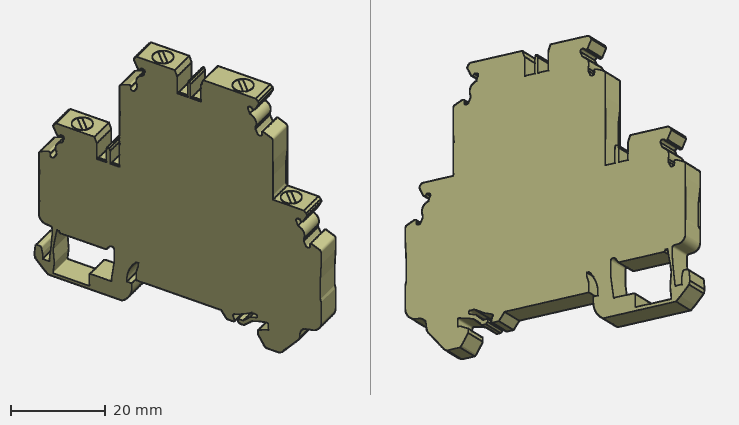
import cadquery as cq


length = 70.5
thickness = 6.0
height = 65.1

upper_top = height
lower_top = 40.25
lower_left_wall = 1.1
upper_left_wall = 20.95
upper_right_wall = 58.65
lower_right_wall = length

upper_gap_left = 35.1
upper_gap_right = 40.95
upper_gap_floor = upper_top - 5.85
upper_fin_width = 0.7
lower_gap_left = 15.4
lower_gap_floor = lower_top - 5.6
lower_fin_width = 1.0
fin_drop = 1.6
fin_tip_height = 0.6
fin_tip_setback = 0.2
gap_lead_in = 0.55
gap_lead_height = 1.5
gap_recess_depth = 0.15
gap_recess_front = 0.6
upper_recess_back = 1.1
lower_recess_back = 0.9

screw_diameter = 4.5
screw_inset = 9.0
screw_y = -0.2
screw_sink = 0.1
screw_slot_width = 1.0
screw_slot_depth = 0.15
screw_slot_angle = -45

panel_depth = 0.2
panel_side_bevel = 0.4
panel_end_bevel = 0.7
panel_ramp_height = 4.0
panel_height = 9.9
upper_panel_top = 50.3
lower_panel_top = 27.8

base_z = 6.6
catch_z = 4.8
hook_z = 0.85
window_top = 11.9
window_step = 4.1
window_floor = 0.85


def extrude_outline(start, steps):
    """Closed XZ outline made solid through the whole thickness."""
    path = cq.Workplane("XZ").moveTo(*start)
    for step in steps:
        if len(step) == 1:
            path = path.lineTo(*step[0])
        else:
            path = path.threePointArc(*step)
    return path.close().extrude(thickness / 2, both=True)


def reverse_steps(start, steps):
    """Same path walked from its last point back to its start."""
    ends = [start] + [step[-1] for step in steps]
    back = [step[:-1] + (ends[i],) for i, step in enumerate(steps)]
    return ends[-1], back[::-1]


def shoulder(wall, top, side):
    """Clamp shoulder from the outer wall up to the top face; side is +1 on the left, -1 on the right."""
    def at(inward, down):
        return (wall + side * inward, top - down)

    start = at(0, 9.5)
    steps = [
        (at(0.2, 9.0), at(0.8, 8.75)),
        (at(3.2, 8.05),),
        (at(3.8, 8.1), at(3.9, 8.5)),
        (at(3.9, 8.9),),
        (at(4.7, 9.3), at(5.4, 8.95)),
        (at(6.1, 8.0),),
        (at(6.1, 7.4),),
        (at(6.0, 5.8), at(7.2, 4.8)),
        (at(8.1, 4.45),),
        (at(8.8, 3.25),),
        (at(8.4, 2.75), at(7.5, 2.75)),
        (at(7.0, 3.2),),
        (at(6.3, 2.95),),
        (at(4.9, 1.0),),
        (at(5.2, 0.5),),
        (at(6.0, 0),),
    ]
    return start, steps


def marker_gap(left, right, floor, top, fin_width):
    """Gap walked left to right along its floor, up and over the fin."""
    fin_left = (left + right - fin_width) / 2
    fin_right = fin_left + fin_width
    fin_top = top - fin_drop
    tip_base = fin_top - fin_tip_height
    return [
        ((left - gap_lead_in, top),),
        ((left, top - gap_lead_height),),
        ((left, floor),),
        ((fin_left, floor),),
        ((fin_left, tip_base),),
        ((fin_left + fin_tip_setback, fin_top),),
        ((fin_right - fin_tip_setback, fin_top),),
        ((fin_right, tip_base),),
        ((fin_right, floor),),
        ((right, floor),),
    ]


def top_outline():
    """From the lower left wall, over both levels, to the lower right wall."""
    start, steps = shoulder(lower_left_wall, lower_top, 0.7)
    steps += marker_gap(lower_gap_left, upper_left_wall, lower_gap_floor, lower_top, lower_fin_width)
    upper_start, upper_steps = shoulder(upper_left_wall, upper_top, 0.7)
    steps += [(upper_start,)] + upper_steps
    steps += marker_gap(upper_gap_left, upper_gap_right, upper_gap_floor, upper_top, upper_fin_width)
    steps += [
        ((upper_gap_right, upper_top - gap_lead_height),),
        ((upper_gap_right + gap_lead_in, upper_top),),
    ]
    right_start, right_steps = reverse_steps(*shoulder(upper_right_wall, upper_top, -0.7))
    steps += [(right_start,)] + right_steps
    steps += [((upper_right_wall, lower_top),)]
    right_start, right_steps = reverse_steps(*shoulder(lower_right_wall, lower_top, -0.7))
    steps += [(right_start,)] + right_steps
    return start, steps


def hook_outline():
    """Right-hand side: down the wall, around the rail hook to its inner mouth."""
    return [
        ((lower_right_wall, 12.4),),
        ((69.9, 10.7), (68.45, 9.8)),
        ((67.25, 9.6),),
        ((65.8, 8.9), (65.3, 7.4)),
        ((65.3, 6.8),),
        ((64.9, 6.0),),
        ((60.85, 1.2),),
        ((60.15, hook_z),),
        ((56.95, hook_z),),
        ((56.55, 1.2),),
        ((54.9, 3.75),),
        ((54.9, 4.7),),
        ((56.8, 5.65),),
        ((57.5, 5.8),),
        ((57.5, 7.05),),
        ((57.4, 7.5), (56.95, 7.55)),
    ]


def catch_outline():
    """Spring tongue beside the hook, then the fixed stop, ending on the base face."""
    return [
        ((55.05, 7.1),),
        ((53.5, 6.55),),
        ((51.55, catch_z),),
        ((50.55, catch_z),),
        ((50.05, 5.2),),
        ((50.05, 5.9),),
        ((51.3, 5.9),),
        ((52.95, 7.4),),
        ((54.4, 7.9),),
        ((54.8, 8.4), (54.4, 8.75)),
        ((53.4, 8.75),),
        ((50.9, 7.4),),
        ((49.1, 6.8),),
        ((48.8, 6.35),),
        ((49.3, 5.1),),
        ((49.1, catch_z),),
        ((47.3, catch_z),),
        ((45.9, base_z),),
    ]


def foot_outline():
    """Relief slit, foot with its rail lip, and the flexible leg back up to the body."""
    return [
        ((25.0, base_z),),
        ((25.0, 8.8),),
        ((25.6, 10.6),),
        ((25.6, 11.3),),
        ((25.1, 11.3),),
        ((23.5, 9.1), (22.8, 6.5)),
        ((22.8, 5.4),),
        ((24.0, 5.4),),
        ((24.0, 4.45),),
        ((23.3, 1.7), (21.6, 0)),
        ((3.45, 0),),
        ((2.3, 1.0),),
        ((0.2, 3.2),),
        ((0, 4.0),),
        ((0.2, 6.2),),
        ((0.35, 6.55), (0.8, 6.8)),
        ((1.35, 6.8),),
        ((1.7, 6.55), (1.8, 6.2)),
        ((2.05, 5.1),),
        ((2.05, 3.6),),
        ((3.7, 3.6),),
        ((4.15, 7.9),),
        ((4.4, 10.5),),
        ((4.4, 12.4),),
        ((4.2, 12.75), (3.95, 12.9)),
        ((2.95, 13.0),),
        ((1.7, 13.55), (lower_left_wall, 14.7)),
    ]


def foot_window():
    """Opening between the body and the foot."""
    start = (5.35, 11.35)
    steps = [
        ((5.6, 12.4),),
        ((6.05, 12.4),),
        ((6.35, window_top),),
        ((17.7, window_top),),
        ((18.55, 13.0),),
        ((19.3, 13.1), (19.6, 12.4)),
        ((19.6, 9.1),),
        ((18.9, window_step),),
        ((13.95, window_step),),
        ((13.7, 4.0), (13.55, 3.75)),
        ((13.55, 1.2),),
        ((13.5, 0.9), (13.2, window_floor)),
        ((5.0, window_floor),),
        ((4.7, 0.9), (4.65, 1.2)),
        ((4.9, 3.6),),
        ((4.65, 7.05),),
        ((5.0, 9.4),),
    ]
    return extrude_outline(start, steps)


def gap_recess(left, right, floor, fin_width, back_ledge):
    """Shallow sunk floor on both sides of the fin."""
    bay_length = (right - left - fin_width) / 2
    bay_width = thickness - gap_recess_front - back_ledge
    bay_y = (gap_recess_front - back_ledge) / 2
    bay_shift = (bay_length + fin_width) / 2
    middle = (left + right) / 2
    return (
        cq.Workplane("XY", origin=(middle, bay_y, floor))
        .pushPoints([(-bay_shift, 0), (bay_shift, 0)])
        .rect(bay_length, bay_width)
        .extrude(-gap_recess_depth)
    )


def screw(x, top):
    """Sunk screw head with a diagonal driver slot that ends at the head's rim."""
    deck = cq.Workplane("XY", origin=(x, screw_y, top))
    slot_bottom = screw_sink + screw_slot_depth
    head = deck.circle(screw_diameter / 2).extrude(-screw_sink)
    bore = deck.circle(screw_diameter / 2).extrude(-slot_bottom)
    slot = (
        deck.transformed(rotate=(0, 0, screw_slot_angle))
        .rect(screw_diameter, screw_slot_width)
        .extrude(-slot_bottom)
    )
    return head.union(slot.intersect(bore))


def panel_ramp(wall, top, side):
    """Panel shape in XZ: a long ramp at the top, a flat floor and a short bevel below."""
    floor_x = wall + side * panel_depth
    bottom = top - panel_height
    steps = [
        ((floor_x, top - panel_ramp_height),),
        ((floor_x, bottom + panel_end_bevel),),
        ((wall, bottom),),
    ]
    return extrude_outline((wall, top), steps)


def bevelled_panel(wall, top, side):
    """Panel whose two long sides also slope out to the edges of the wall."""
    rim = thickness / 2
    floor = rim - panel_side_bevel
    floor_x = wall + side * panel_depth
    taper = (
        cq.Workplane("XY", origin=(0, 0, top - panel_height))
        .polyline([(wall, -rim), (floor_x, -floor), (floor_x, floor), (wall, rim)])
        .close()
        .extrude(panel_height)
    )
    return panel_ramp(wall, top, side).intersect(taper)


body_start, body_steps = top_outline()
body_steps += hook_outline() + catch_outline() + foot_outline()
result = extrude_outline(body_start, body_steps).cut(foot_window())

result = result.cut(
    gap_recess(upper_gap_left, upper_gap_right, upper_gap_floor, upper_fin_width, upper_recess_back)
)
result = result.cut(
    gap_recess(lower_gap_left, upper_left_wall, lower_gap_floor, lower_fin_width, lower_recess_back)
)

for wall, top, side in [
    (lower_left_wall, lower_top, 1),
    (upper_left_wall, upper_top, 1),
    (upper_right_wall, upper_top, -1),
    (lower_right_wall, lower_top, -1),
]:
    result = result.cut(screw(wall + side * screw_inset, top))

for wall, top, side in [
    (lower_left_wall, lower_panel_top, 1),
    (upper_left_wall, upper_panel_top, 1),
    (upper_right_wall, upper_panel_top, -1),
]:
    result = result.cut(bevelled_panel(wall, top, side))

result = result.cut(panel_ramp(lower_right_wall, lower_panel_top, -1))